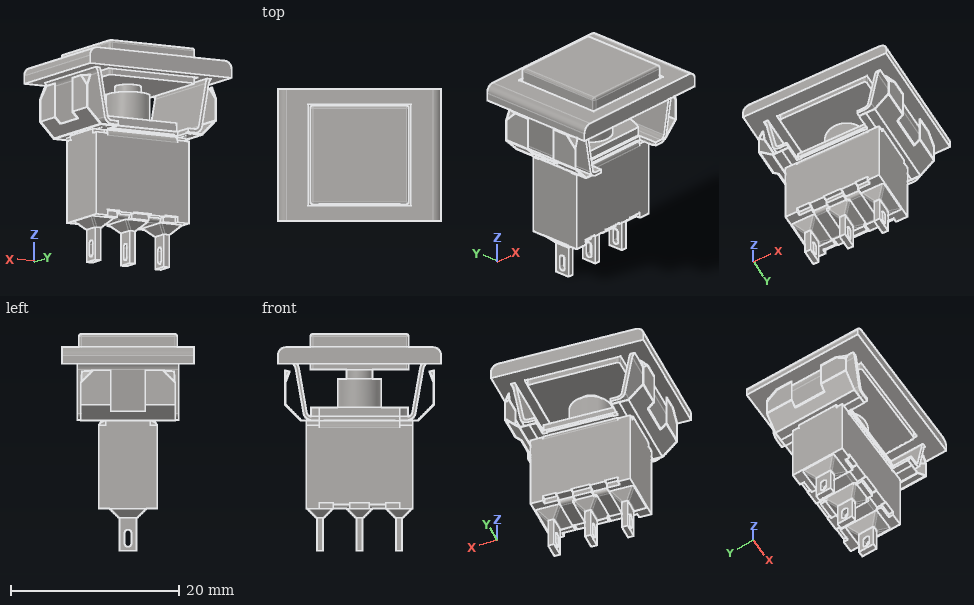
import cadquery as cq
import math


BODY_X, BODY_Y, BODY_TOP = 12.7, 7.0, 10.42
STRAP_X = 9.56
SHOULDER_R = 0.75
END_LEDGE_Z = 9.91
END_LEDGE_DEPTH = 0.84
FOOT_RECESS_Z, FOOT_RECESS_DEPTH = 0.69, 0.6
VENT_X, VENT_PITCH, VENT_Z, VENT_DEPTH = 1.96, 4.3, 0.54, 0.6
VENT_LIP_R = 0.4

PIN_PITCH, PIN_X, PIN_Y, PIN_LENGTH = 4.69, 0.75, 2.05, 5.0
SLOT_LENGTH, SLOT_WIDTH, SLOT_Z = 2.0, 0.8, -3.5
SEAL_X, SEAL_Y, SEAL_HEIGHT = 3.1, 4.4, 1.08
SEAL_TAPER = 45
SEAL_CORNER_R, SEAL_TIP_R = 0.3, 0.1

SHEET = 0.1
SHEET_Y = 11.16
SHEET_FOOT_X, SHEET_TAB_X = 6.95, 8.85
SHEET_TAB_TOP = 16.42
SHEET_RAMP = 45
SHEET_LIP_X, SHEET_LIP_Y = 8.4, 7.3
WINDOW_Y, WINDOW_Z = 4.12, 11.6
FLAP_LEG, FLAP_ANGLE = 1.4, 30

FRAME, FRAME_Y = 0.43, 12.06
FRAME_Z = BODY_TOP + SHEET
FRAME_TOP = FRAME_Z + FRAME
LEG_TILT = math.radians(10)
FOOT_BEND_X, FOOT_BEND_R = 5.7, 0.55
HEAD_BEND_Z, HEAD_BEND_R = 16.56, 1.3
NOTCHED_Y = 7.0

COLLAR_D, COLLAR_Y, COLLAR_TOP = 11.56, 6.5, 12.02
BUSHING_D, BUSHING_TOP = 5.2, 15.42
STEM_D = 3.1

BEZEL_X, BEZEL_Y, BEZEL_THICKNESS = 19.4, 15.7, 2.0
BEZEL_Z, BEZEL_R = 17.2, 1.0
OPENING_X, OPENING_Y = 12.22, 12.02
CAP, CAP_Z, CAP_TOP, CAP_R = 11.7, 16.5, 20.75, 0.3


def block(x, y, z0, z1):
    """Box centred on the Z axis between two heights."""
    return cq.Workplane("XY").workplane(offset=z0).rect(x, y).extrude(z1 - z0)


def cylinder(diameter, z0, z1):
    return cq.Workplane("XY").workplane(offset=z0).circle(diameter / 2).extrude(z1 - z0)


def polar(centre, radius, angle):
    return centre[0] + radius * math.cos(angle), centre[1] + radius * math.sin(angle)


def mirrored(half):
    """The part together with its mirror image across X = 0."""
    return half.union(half.mirror("YZ"))


def housing():
    ends = block(BODY_X, BODY_Y, 0, END_LEDGE_Z)
    ends = ends.union(block(BODY_X, BODY_Y - 2 * END_LEDGE_DEPTH, 0, BODY_TOP))
    strap = block(STRAP_X, BODY_Y, 0, BODY_TOP).edges("|X and >Z").fillet(SHOULDER_R)
    body = ends.cut(block(STRAP_X, BODY_Y, 0, BODY_TOP)).union(strap)
    recess_floor = BODY_Y / 2 - FOOT_RECESS_DEPTH
    vent_floor = recess_floor - VENT_DEPTH
    inner = block(STRAP_X, 2 * recess_floor, 0, FOOT_RECESS_Z)
    core = block(VENT_X, 2 * vent_floor, 0, VENT_Z).edges("|X and <Z").fillet(VENT_LIP_R)
    vent = block(VENT_X, BODY_Y, 0, VENT_Z).cut(core)
    for side in (-1, 1):
        inner = inner.cut(vent.translate((side * VENT_PITCH / 2, 0, 0)))
    recess = block(STRAP_X, BODY_Y, 0, FOOT_RECESS_Z)
    for side in (-1, 1):
        tab = block(VENT_X, BODY_Y, VENT_Z, FOOT_RECESS_Z)
        recess = recess.cut(tab.translate((side * VENT_PITCH / 2, 0, 0)))
    return body.cut(recess).union(inner)


def terminal():
    """Solder lug with a slotted eye, potted in a tapered seal."""
    seal = cq.Workplane("XY").rect(SEAL_X, SEAL_Y).extrude(-SEAL_HEIGHT, taper=SEAL_TAPER)
    seal = seal.edges("not #Z").fillet(SEAL_CORNER_R)
    seal = seal.faces("<Z").edges().fillet(SEAL_TIP_R)
    lug = block(PIN_X, PIN_Y, -PIN_LENGTH, 0)
    eye = (cq.Workplane("YZ").center(0, SLOT_Z).slot2D(SLOT_LENGTH, SLOT_WIDTH, 90)
           .extrude(PIN_X / 2, both=True))
    return seal.union(lug).cut(eye)


def side_notches(z0, z1):
    """Cutters opening the front and back of a plate over the strap width."""
    return block(STRAP_X, BEZEL_Y, z0, z1).cut(block(STRAP_X, NOTCHED_Y, z0, z1))


def spring_clip():
    """Thin sheet with two upright, windowed tabs whose outer corners fold inward."""
    low, high = BODY_TOP, BODY_TOP + SHEET
    ramp = math.radians(SHEET_RAMP)
    bend_z = low + (SHEET_TAB_X - SHEET_FOOT_X) * math.tan(ramp)
    shift = SHEET * math.tan(ramp / 2)
    inner_tab_x = SHEET_TAB_X - SHEET
    half = (cq.Workplane("XZ")
            .polyline([(0, low), (SHEET_FOOT_X, low), (SHEET_TAB_X, bend_z), (SHEET_TAB_X, SHEET_TAB_TOP),
                       (inner_tab_x, SHEET_TAB_TOP), (inner_tab_x, bend_z + shift),
                       (SHEET_FOOT_X - shift, high), (0, high)])
            .close().extrude(SHEET_Y / 2, both=True))
    window = block(2 * SHEET_TAB_X, WINDOW_Y, WINDOW_Z, SHEET_TAB_TOP)
    half = half.cut(window)
    edge_y = SHEET_Y / 2
    fold_y, fold_z = edge_y - FLAP_LEG, SHEET_TAB_TOP - FLAP_LEG
    for side in (-1, 1):
        corner = (cq.Workplane("YZ").workplane(offset=inner_tab_x)
                  .polyline([(side * fold_y, SHEET_TAB_TOP), (side * edge_y, SHEET_TAB_TOP),
                             (side * edge_y, fold_z)])
                  .close().extrude(SHEET))
        flap = corner.rotate((SHEET_TAB_X, side * fold_y, SHEET_TAB_TOP),
                             (SHEET_TAB_X, side * edge_y, fold_z), -side * FLAP_ANGLE)
        half = half.cut(corner).union(flap)
    lip = block(SHEET_LIP_X, SHEET_LIP_Y, low, high)
    return mirrored(half).cut(side_notches(low, high)).union(lip)


def frame():
    """Flat plate whose ends bend up into two leaning legs that flare out into the bezel."""
    foot_outer_r = FOOT_BEND_R + FRAME
    head_outer_r = HEAD_BEND_R + FRAME
    foot = (FOOT_BEND_X, FRAME_TOP + FOOT_BEND_R)
    foot_angle = -LEG_TILT
    foot_mid = (foot_angle - math.pi / 2) / 2
    leg_start = polar(foot, foot_outer_r, foot_angle)
    leg_end = (leg_start[0] + (HEAD_BEND_Z - leg_start[1]) * math.tan(LEG_TILT), HEAD_BEND_Z)
    head = polar(leg_end, HEAD_BEND_R, foot_angle)
    head_angle = math.pi - LEG_TILT
    head_mid = (head_angle + math.pi / 2) / 2
    half = (cq.Workplane("XZ").moveTo(0, FRAME_Z).lineTo(FOOT_BEND_X, FRAME_Z)
            .threePointArc(polar(foot, foot_outer_r, foot_mid), leg_start)
            .lineTo(*leg_end)
            .threePointArc(polar(head, HEAD_BEND_R, head_mid), polar(head, HEAD_BEND_R, math.pi / 2))
            .lineTo(*polar(head, head_outer_r, math.pi / 2))
            .threePointArc(polar(head, head_outer_r, head_mid), polar(head, head_outer_r, head_angle))
            .lineTo(*polar(foot, FOOT_BEND_R, foot_angle))
            .threePointArc(polar(foot, FOOT_BEND_R, foot_mid), (FOOT_BEND_X, FRAME_TOP))
            .lineTo(0, FRAME_TOP).close().extrude(FRAME_Y / 2, both=True))
    return mirrored(half).cut(side_notches(FRAME_Z, FRAME_TOP))


def bushing():
    collar = cylinder(COLLAR_D, BODY_TOP, COLLAR_TOP)
    collar = collar.intersect(block(COLLAR_D, COLLAR_Y, BODY_TOP, COLLAR_TOP))
    return (collar.union(cylinder(BUSHING_D, COLLAR_TOP, BUSHING_TOP))
            .union(cylinder(STEM_D, BUSHING_TOP, CAP_Z)))


def bezel():
    top = BEZEL_Z + BEZEL_THICKNESS
    plate = block(BEZEL_X, BEZEL_Y, BEZEL_Z, top)
    plate = plate.edges("|Y and >Z").fillet(BEZEL_R)
    return plate.cut(block(OPENING_X, OPENING_Y, BEZEL_Z, top))


def cap():
    return block(CAP, CAP, CAP_Z, CAP_TOP).edges("|Z or >Z").fillet(CAP_R)


result = housing()
for position in (-1, 0, 1):
    result = result.union(terminal().translate((position * PIN_PITCH, 0, 0)))
for component in (spring_clip(), frame(), bushing(), bezel(), cap()):
    result = result.union(component)